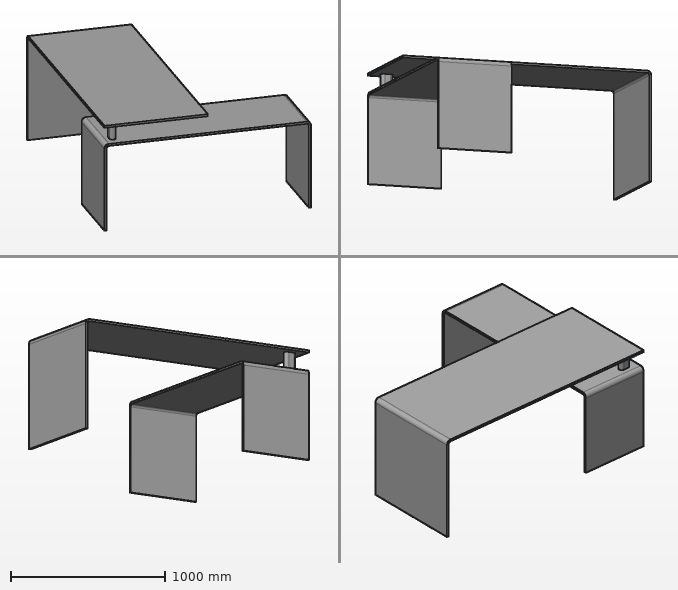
import cadquery as cq
desk_length = 1700.0
desk_depth = 700.0
desk_height = 730.0
desk_front_y = 0.8

side_length = 1400.0
side_width = 500.0
side_height = 600.0
side_x = desk_length - side_width

sheet_thickness = 15.0
outer_bend_radius = 30.0
inner_bend_radius = outer_bend_radius - sheet_thickness

post_width = 82.0
post_depth = 42.0
post_end_inset = 60.0
post_front_inset = 60.0
post_foot_radius = 3.0
post_x = desk_length - post_end_inset - post_width / 2
post_y = post_front_inset + post_depth / 2
post_height = desk_height - sheet_thickness - side_height


def corner_box(x_size, y_size, z_size, corner):
    """Box with its lowest corner at the given point."""
    return cq.Workplane("XY").box(x_size, y_size, z_size, centered=False).translate(corner)


def make_desk():
    """Flat top with one leg, joined by a round bend along Y."""
    bend_edge = "|Y and <X and >Z"
    outside = corner_box(desk_length, desk_depth, desk_height, (0, desk_front_y, 0))
    outside = outside.edges(bend_edge).fillet(outer_bend_radius)
    open_space = corner_box(
        desk_length - sheet_thickness,
        desk_depth,
        desk_height - sheet_thickness,
        (sheet_thickness, desk_front_y, 0),
    )
    open_space = open_space.edges(bend_edge).fillet(inner_bend_radius)
    return outside.cut(open_space)


def make_side_table():
    """Flat top with a leg at each end, joined by round bends along X."""
    bend_edges = "|X and >Z"
    outside = corner_box(side_width, side_length, side_height, (side_x, 0, 0))
    outside = outside.edges(bend_edges).fillet(outer_bend_radius)
    open_space = corner_box(
        side_width,
        side_length - 2 * sheet_thickness,
        side_height - sheet_thickness,
        (side_x, sheet_thickness, 0),
    )
    open_space = open_space.edges(bend_edges).fillet(inner_bend_radius)
    return outside.cut(open_space)


def make_post():
    """Upright between the two tops, with a slightly rounded foot edge."""
    upright = (
        cq.Workplane("XY", origin=(post_x, post_y, side_height))
        .slot2D(post_width, post_depth)
        .extrude(post_height)
    )
    return upright.faces("<Z").edges().fillet(post_foot_radius)


desk = make_desk()
side_table = make_side_table()
post = make_post()

result = cq.Compound.makeCompound([desk.val(), side_table.val(), post.val()])